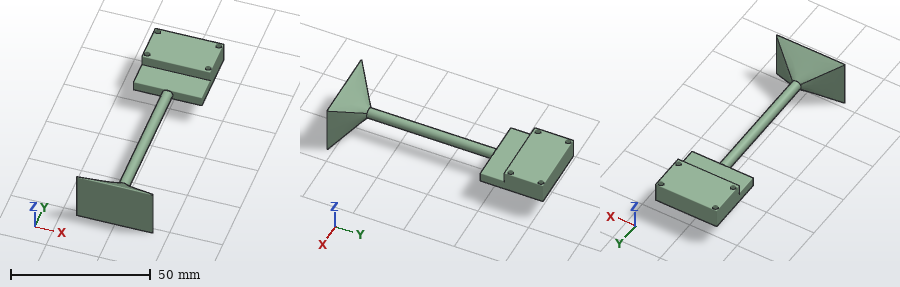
import cadquery as cq

BLOCK_WIDTH = 26.0
BLOCK_LENGTH = 25.0
BLOCK_HEIGHT = 8.0
STEP_HEIGHT = 4.0
UPPER_LENGTH = 15.5

HOLE_DIAMETER = 2.0
HOLE_EDGE_DISTANCE = 1.5
HOLE_ROW_SPACING = 12.0
HOLE_RIM_RADIUS = 0.15

ROD_DIAMETER = 4.0
ROD_LENGTH = 50.0
ROD_AXIS_Z = STEP_HEIGHT / 2

HORN_LENGTH = 10.0
HORN_WIDTH = 30.0
HORN_HEIGHT = 20.0

EDGE_RADIUS = 0.3


def make_block():
    """L-profile block with all its outer edges rounded."""
    step_y = BLOCK_LENGTH - UPPER_LENGTH
    block = (
        cq.Workplane("YZ")
        .moveTo(0, 0)
        .lineTo(BLOCK_LENGTH, 0)
        .lineTo(BLOCK_LENGTH, BLOCK_HEIGHT)
        .lineTo(step_y, BLOCK_HEIGHT)
        .lineTo(step_y, STEP_HEIGHT)
        .lineTo(0, STEP_HEIGHT)
        .close()
        .extrude(BLOCK_WIDTH / 2, both=True)
    )
    inner_corner = cq.selectors.BoxSelector(
        (-BLOCK_WIDTH, step_y - EDGE_RADIUS, STEP_HEIGHT - EDGE_RADIUS),
        (BLOCK_WIDTH, step_y + EDGE_RADIUS, STEP_HEIGHT + EDGE_RADIUS),
    )
    outer_edges = cq.selectors.SubtractSelector(cq.selectors.StringSyntaxSelector("%LINE"), inner_corner)
    return block.edges(outer_edges).fillet(EDGE_RADIUS)


def cut_holes(block):
    """Drill the four vertical through holes and round their upper rims."""
    hole_x = BLOCK_WIDTH / 2 - HOLE_EDGE_DISTANCE
    rear_y = BLOCK_LENGTH - HOLE_EDGE_DISTANCE
    centres = [(x, y) for x in (-hole_x, hole_x) for y in (rear_y, rear_y - HOLE_ROW_SPACING)]
    drills = cq.Workplane("XY").pushPoints(centres).circle(HOLE_DIAMETER / 2).extrude(BLOCK_HEIGHT)
    return block.cut(drills).faces(">Z").edges("%CIRCLE").fillet(HOLE_RIM_RADIUS)


def make_rod():
    """Rod from the block's front face to the horn."""
    return (
        cq.Workplane("XZ")
        .center(0, ROD_AXIS_Z)
        .circle(ROD_DIAMETER / 2)
        .extrude(ROD_LENGTH)
    )


def make_horn():
    """Loft from the rod's circle to the rectangle, with a rounded front rim."""
    horn = (
        cq.Workplane("XZ", origin=(0, -ROD_LENGTH, ROD_AXIS_Z))
        .circle(ROD_DIAMETER / 2)
        .workplane(offset=HORN_LENGTH)
        .rect(HORN_WIDTH, HORN_HEIGHT)
        .loft(ruled=True)
    )
    return horn.faces("<Y").edges().fillet(EDGE_RADIUS)


result = cut_holes(make_block()).union(make_rod()).union(make_horn())